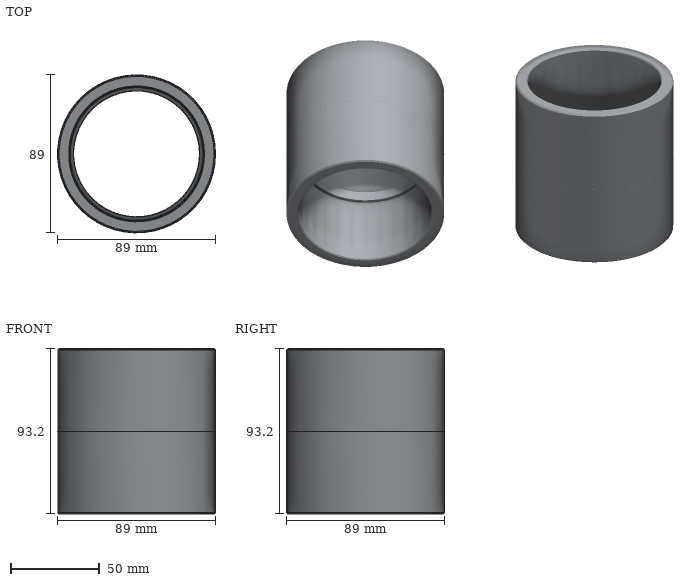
import cadquery as cq

height = 93.2
outer_diameter = 89.0

socket_mouth_diameter = 75.4
socket_root_diameter = 75.0
socket_depth = 43.5
stop_diameter = 70.96

outer_rim_chamfer = 0.8
mouth_chamfer = 0.6

parting_diameter = 89.05
parting_width = 0.1
parting_z = -0.1

half_height = height / 2
stop_half_width = half_height - socket_depth


def half_coupling():
    """Upper half, revolved about Z from the middle plane up to the rim."""
    outer_radius = outer_diameter / 2
    mouth_radius = socket_mouth_diameter / 2
    root_radius = socket_root_diameter / 2
    stop_radius = stop_diameter / 2
    profile = [
        (stop_radius, 0),
        (outer_radius, 0),
        (outer_radius, half_height - outer_rim_chamfer),
        (outer_radius - outer_rim_chamfer, half_height),
        (mouth_radius + mouth_chamfer, half_height),
        (mouth_radius, half_height - mouth_chamfer),
        (root_radius, stop_half_width),
        (stop_radius, stop_half_width),
    ]
    axis_start = (0, 0)
    axis_end = (0, 1)
    return cq.Workplane("XZ").polyline(profile).close().revolve(360, axis_start, axis_end)


def parting_ring():
    """Thin ring that reaches into the wall and stands slightly proud of it."""
    return (
        cq.Workplane("XY")
        .workplane(offset=parting_z)
        .circle(parting_diameter / 2)
        .circle(socket_mouth_diameter / 2)
        .extrude(parting_width / 2, both=True)
    )


upper_half = half_coupling()
lower_half = upper_half.mirror("XY")
result = upper_half.union(lower_half).union(parting_ring())